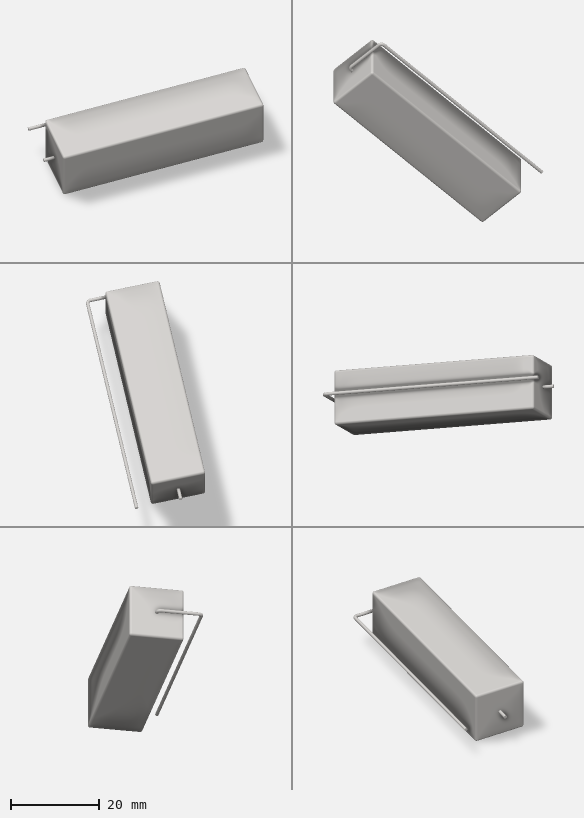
import cadquery as cq

body_side = 12.5
body_length = 48.0
edge_radius = 0.5
wire_diameter = 0.8
lead_pitch = 10.15
lead_overhang = 2.5
overall_length = 51.9
bend_radius = 0.8
lead_embed = 0.5

wire_radius = wire_diameter / 2
front_face = -body_length / 2
back_face = body_length / 2
lead_tip = front_face - lead_overhang
crossbar_y = lead_tip + overall_length - wire_radius


def make_body():
    """Square block with all edges rounded."""
    block = cq.Workplane("XY").box(body_side, body_length, body_side)
    return block.edges().fillet(edge_radius)


def make_short_lead():
    """Straight wire on the body axis, leaving the front face."""
    start = cq.Workplane("XZ", origin=(0, front_face + lead_embed, 0))
    return start.circle(wire_radius).extrude(lead_overhang + lead_embed)


def make_folded_lead():
    """Wire leaving the back face, bent twice to run forward beside the body."""
    bend_inset = bend_radius * (1 - 0.5 ** 0.5)
    straight_end = crossbar_y - bend_radius
    start_y = back_face - lead_embed
    path = (
        cq.Workplane("XY")
        .moveTo(0, start_y)
        .lineTo(0, straight_end)
        .threePointArc((-bend_inset, crossbar_y - bend_inset), (-bend_radius, crossbar_y))
        .lineTo(bend_radius - lead_pitch, crossbar_y)
        .threePointArc(
            (bend_inset - lead_pitch, crossbar_y - bend_inset),
            (-lead_pitch, straight_end),
        )
        .lineTo(-lead_pitch, lead_tip)
    )
    profile = cq.Workplane("XZ", origin=(0, start_y, 0)).circle(wire_radius)
    return profile.sweep(path)


result = make_body().union(make_short_lead()).union(make_folded_lead())